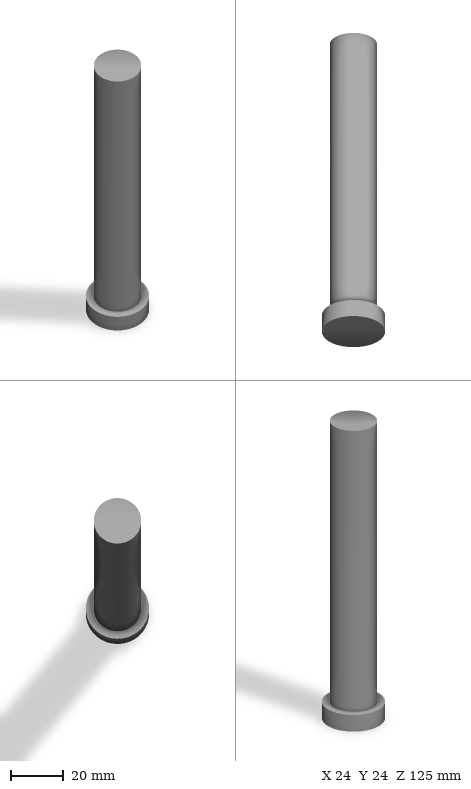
import cadquery as cq

total_length = 125.0
head_diameter = 24.0
head_height = 7.0
shank_diameter = 18.0

shank_length = total_length - head_height

head = cq.Workplane("XY").circle(head_diameter / 2).extrude(head_height)
result = head.faces(">Z").workplane().circle(shank_diameter / 2).extrude(shank_length)